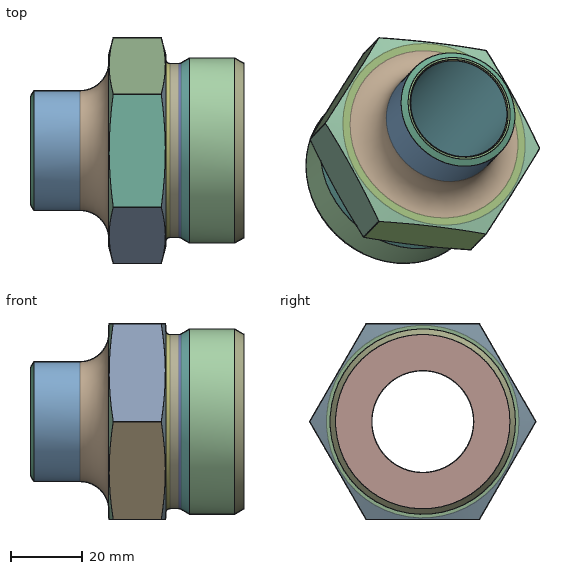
import cadquery as cq
import math

total_length = 60.0
bore_diameter = 28.5
bore_chamfer = 0.3

spigot_diameter = 33.7
spigot_bevel_length = 1.0
spigot_bevel_angle = 60.0

hex_sides = 6
hex_start = 22.0
hex_end = 38.0
hex_across_flats = 55.0
hex_corner_diameter = 63.42
hex_face_diameter = 54.0
hex_chamfer_angle = 15.0
neck_fillet_radius = 8.0

thread_diameter = 52.0
undercut_diameter = 48.9
undercut_end = 42.0
undercut_fillet_radius = 1.2
runout_angle = 30.0


def rise(length, angle):
    """Sideways travel of a slope over a length, for an angle in degrees from that length."""
    return length * math.tan(math.radians(angle))


def blank_profile():
    """Half section of the turned body, with the hexagon as a chamfered disc."""
    spigot_radius = spigot_diameter / 2
    tip_radius = spigot_radius - rise(spigot_bevel_length, spigot_bevel_angle)
    thread_radius = thread_diameter / 2
    undercut_radius = undercut_diameter / 2
    runout_length = (thread_radius - undercut_radius) / math.tan(math.radians(runout_angle))
    hex_radius = hex_corner_diameter / 2
    bore_radius = bore_diameter / 2
    face_radius = hex_face_diameter / 2
    chamfer_depth = rise(hex_radius - face_radius, hex_chamfer_angle)

    neck_start = hex_start - neck_fillet_radius
    neck_top = spigot_radius + neck_fillet_radius
    neck_diagonal = neck_fillet_radius * math.sqrt(0.5)
    neck_middle = (neck_start + neck_diagonal, neck_top - neck_diagonal)

    corner_center = (hex_end + undercut_fillet_radius, undercut_radius + undercut_fillet_radius)
    corner_diagonal = undercut_fillet_radius * math.sqrt(0.5)
    corner_middle = (corner_center[0] - corner_diagonal, corner_center[1] - corner_diagonal)

    slope = math.radians(runout_angle)
    blend_start = undercut_end - undercut_fillet_radius * math.tan(slope / 2)

    def blend_point(angle):
        """Point on the blend arc where its tangent has turned by the given angle."""
        return (
            blend_start + undercut_fillet_radius * math.sin(angle),
            undercut_radius + undercut_fillet_radius * (1 - math.cos(angle)),
        )

    return (
        cq.Workplane("XY")
        .moveTo(bore_chamfer, bore_radius)
        .lineTo(0, bore_radius + bore_chamfer)
        .lineTo(0, tip_radius)
        .lineTo(spigot_bevel_length, spigot_radius)
        .lineTo(neck_start, spigot_radius)
        .threePointArc(neck_middle, (hex_start, neck_top))
        .lineTo(hex_start, face_radius)
        .lineTo(hex_start + chamfer_depth, hex_radius)
        .lineTo(hex_end - chamfer_depth, hex_radius)
        .lineTo(hex_end, face_radius)
        .lineTo(hex_end, corner_center[1])
        .threePointArc(corner_middle, (corner_center[0], undercut_radius))
        .lineTo(blend_start, undercut_radius)
        .threePointArc(blend_point(slope / 2), blend_point(slope))
        .lineTo(undercut_end + runout_length, thread_radius)
        .lineTo(total_length - runout_length, thread_radius)
        .lineTo(total_length, undercut_radius)
        .lineTo(total_length, bore_radius)
        .close()
    )


def turned_blank():
    """Body of revolution about the X axis, bore included."""
    return blank_profile().revolve(360, (0, 0, 0), (1, 0, 0))


def hex_prism():
    """Hexagonal bar over the full length: flats face +Z and -Z, corners +Y and -Y."""
    across_corners = hex_across_flats / math.cos(math.pi / hex_sides)
    return cq.Workplane("YZ").polygon(hex_sides, across_corners).extrude(total_length)


result = turned_blank().intersect(hex_prism())